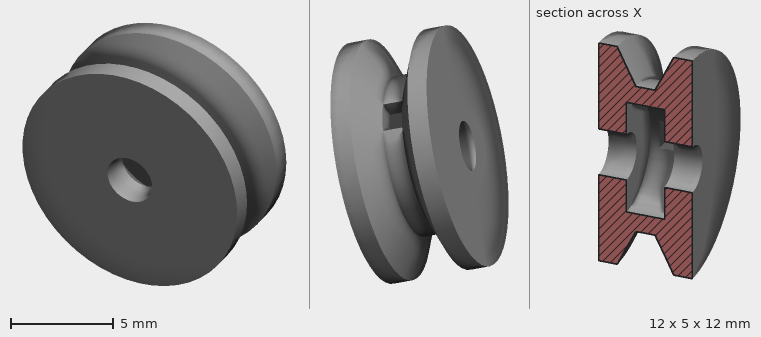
import cadquery as cq

outer_diameter = 12.0
width = 5.0
core_diameter = 8.0
cavity_diameter = 6.0
bore_diameter = 2.5
slot_height = 1.5

band = width / 5
cavity_width = 2 * band

outer_radius = outer_diameter / 2
core_radius = core_diameter / 2
cavity_radius = cavity_diameter / 2
bore_radius = bore_diameter / 2

half_section = [
    (bore_radius, -width / 2),
    (outer_radius, -width / 2),
    (outer_radius, -width / 2 + band),
    (core_radius, -band / 2),
    (core_radius, band / 2),
    (outer_radius, width / 2 - band),
    (outer_radius, width / 2),
    (bore_radius, width / 2),
    (bore_radius, cavity_width / 2),
    (cavity_radius, cavity_width / 2),
    (cavity_radius, -cavity_width / 2),
    (bore_radius, -cavity_width / 2),
]

pulley = cq.Workplane("XY").polyline(half_section).close().revolve(360, (0, 0, 0), (0, 1, 0))

slot = cq.Workplane("XY").box(core_radius, band, slot_height, centered=(False, True, True))
slot = slot.translate((-core_radius, 0, 0))

result = pulley.cut(slot)